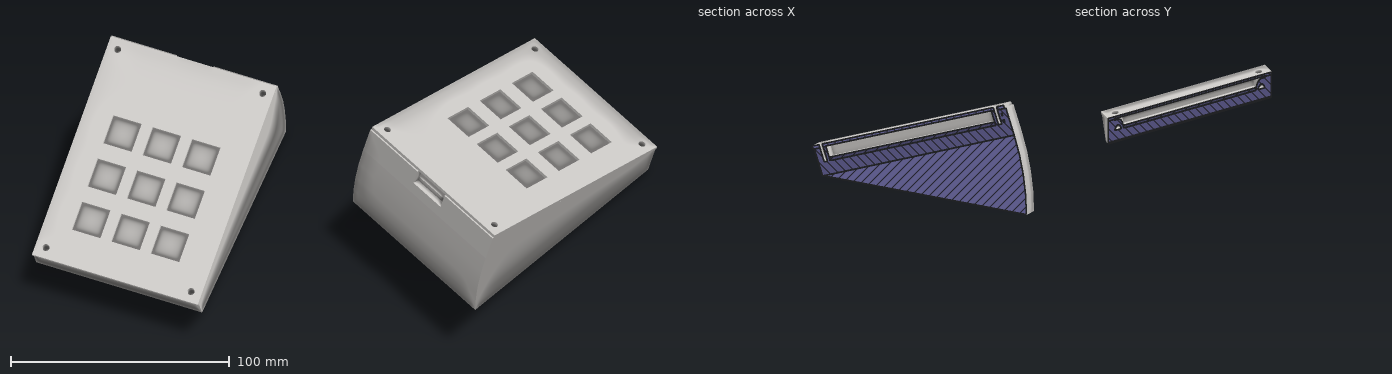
import cadquery as cq
import math

TILT = 20
WIDTH = 81.0
LENGTH = 109.5
CASE_HEIGHT = 13.0
PLATE_THICKNESS = 1.5
PLATE_OVERHANG = 0.8

WALL = 3.2
NOTCH_WIDTH = 18.0
NOTCH_CENTER_X = 0.3
NOTCH_DEPTH = 7.4
BOARD_THICKNESS = 1.6
BOARD_DEPTH = 5.2

SCREW_DIAMETER = 3.3
BOSS_DIAMETER = 6.0
SCREW_INSET = 5.1

KEY_SIZE = 14.0
KEY_PITCH_X = 19.3
KEY_PITCH_Y = 21.7
KEYS_PER_SIDE = 3
KEYS_CENTER_X = -0.7
KEYS_CENTER_Y = 45.4

POCKET_WIDTH = WIDTH - 2 * WALL
POCKET_LENGTH = LENGTH - 2 * WALL
POCKET_DEPTH = BOARD_DEPTH + BOARD_THICKNESS
POCKET_FLOOR = CASE_HEIGHT - POCKET_DEPTH
SCREW_SPACING_X = WIDTH - 2 * SCREW_INSET
SCREW_SPACING_Y = LENGTH - 2 * SCREW_INSET
MID_LENGTH = LENGTH / 2
PLATE_CENTER_Y = MID_LENGTH - PLATE_OVERHANG


def on_slope(body):
    """Tilt a body built flat, with its front edge on the X axis, up onto the base."""
    return body.rotate((0, 0, 0), (1, 0, 0), TILT)


def slab(width, length, thickness, bottom, center_y=MID_LENGTH, center_x=0):
    """Flat block centered at the given place, with its underside at height `bottom`."""
    return (
        cq.Workplane("XY", origin=(center_x, center_y, bottom))
        .box(width, length, thickness, centered=(True, True, False))
    )


def screw_cylinders(diameter, height, bottom, center_y):
    """One upright cylinder on each of the four screw axes."""
    return (
        cq.Workplane("XY", origin=(0, center_y, bottom))
        .rarray(SCREW_SPACING_X, SCREW_SPACING_Y, 2, 2)
        .circle(diameter / 2)
        .extrude(height)
    )


def make_base():
    """Wedge whose back is an arc about its front edge."""
    half_tilt = math.radians(TILT / 2)
    tilt = math.radians(TILT)
    arc_middle = (LENGTH * math.cos(half_tilt), LENGTH * math.sin(half_tilt))
    slope_top = (LENGTH * math.cos(tilt), LENGTH * math.sin(tilt))
    return (
        cq.Workplane("YZ")
        .lineTo(LENGTH, 0)
        .threePointArc(arc_middle, slope_top)
        .close()
        .extrude(WIDTH / 2, both=True)
    )


def make_bosses():
    """Round screw bosses, each joined by a web of the same width to the nearest side wall."""
    webs = (
        cq.Workplane("XY", origin=(0, PLATE_CENTER_Y, POCKET_FLOOR))
        .rarray(WIDTH, SCREW_SPACING_Y, 2, 2)
        .rect(2 * SCREW_INSET, BOSS_DIAMETER)
        .extrude(POCKET_DEPTH)
    )
    bosses = screw_cylinders(BOSS_DIAMETER, POCKET_DEPTH, POCKET_FLOOR, PLATE_CENTER_Y)
    return bosses.union(webs)


def make_case():
    """Tray with a screw boss in each corner and a cable notch in its back wall."""
    body = slab(WIDTH, LENGTH, CASE_HEIGHT, 0)
    pocket = slab(POCKET_WIDTH, POCKET_LENGTH, POCKET_DEPTH, POCKET_FLOOR).cut(make_bosses())
    notch_floor = CASE_HEIGHT - NOTCH_DEPTH
    notch = slab(NOTCH_WIDTH, WALL, NOTCH_DEPTH, notch_floor, LENGTH - WALL / 2, NOTCH_CENTER_X)
    holes = screw_cylinders(SCREW_DIAMETER, POCKET_DEPTH, POCKET_FLOOR, PLATE_CENTER_Y)
    return on_slope(body.cut(pocket).cut(notch).cut(holes))


def make_board():
    """Circuit board that fills the pocket floor around the bosses."""
    board = slab(POCKET_WIDTH, POCKET_LENGTH, BOARD_THICKNESS, POCKET_FLOOR)
    return on_slope(board.cut(make_bosses()))


def make_plate():
    """Cover plate with a grid of square key windows and four screw holes."""
    plate = slab(WIDTH, LENGTH, PLATE_THICKNESS, CASE_HEIGHT, PLATE_CENTER_Y)
    windows = (
        cq.Workplane("XY", origin=(KEYS_CENTER_X, KEYS_CENTER_Y - PLATE_OVERHANG, CASE_HEIGHT))
        .rarray(KEY_PITCH_X, KEY_PITCH_Y, KEYS_PER_SIDE, KEYS_PER_SIDE)
        .rect(KEY_SIZE, KEY_SIZE)
        .extrude(PLATE_THICKNESS)
    )
    holes = screw_cylinders(SCREW_DIAMETER, PLATE_THICKNESS, CASE_HEIGHT, PLATE_CENTER_Y)
    return on_slope(plate.cut(windows).cut(holes))


base = make_base()
case = make_case()
board = make_board()
plate = make_plate()

result = cq.Compound.makeCompound([base.val(), case.val(), board.val(), plate.val()])